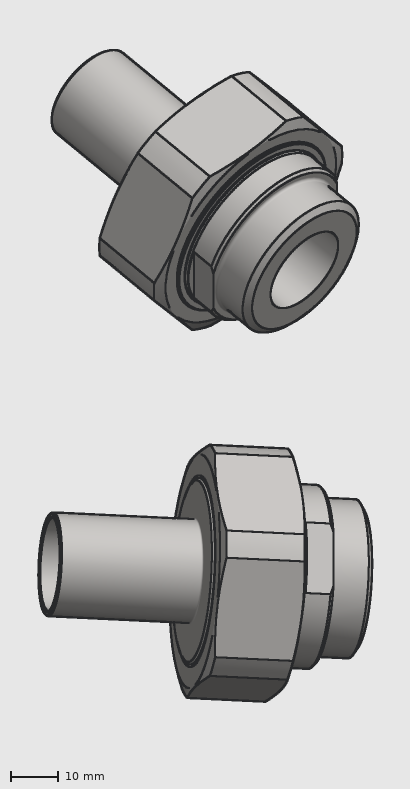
import cadquery as cq


OVERALL_LENGTH = 66.5
BORE_DIAMETER = 19.6
SOCKET_DIAMETER = 39.5
JOINT_X = 40.55

TUBE_DIAMETER = 22.0
TUBE_OUTER_CHAMFER = 0.3
TUBE_INNER_CHAMFER = 0.25
COLLAR_START_X = 30.9
COLLAR_CHAMFER = 0.5
TUBE_ROOT_FILLET = 0.3

NUT_START_X = 31.45
NUT_END_X = 50.0
NUT_ACROSS_FLATS = 50.0
NUT_CORNER_DIAMETER = 54.65
NUT_FACE_DIAMETER = 49.5
NUT_CHAMFER_LENGTH = 0.85
NUT_BOSS_DIAMETER = 43.0
NUT_BOSS_END_X = 50.55
NUT_BOSS_CHAMFER = 0.25
NUT_BORE_CHAMFER = 0.5
HEXAGON_SIDES = 6
HEXAGON_TURN = 180 / HEXAGON_SIDES

FLANGE_DIAMETER = 39.0
FLANGE_TAPER_START_X = 50.75
FLANGE_START_X = 51.3
FLANGE_END_X = 57.5
FLANGE_CHAMFER = 0.65
FLATS_START_X = 51.5
FLANGE_ACROSS_FLATS = 35.85
THREAD_DIAMETER = 33.7
THREAD_ROOT_FILLET = 0.65
THREAD_CHAMFER_LENGTH = 1.1
THREAD_TIP_DIAMETER = 30.3


def revolve_about_x(profile):
    """Turn a closed (X, radius) profile once round the X axis."""
    return profile.close().revolve(360, (0, 0, 0), (1, 0, 0))


def x_cylinder(diameter, start_x, end_x):
    """Solid cylinder along X between two stations."""
    return cq.Workplane("YZ", origin=(start_x, 0, 0)).circle(diameter / 2).extrude(end_x - start_x)


def make_tailpiece():
    """Tube with a collar that is held in the nut."""
    bore_radius = BORE_DIAMETER / 2
    tube_radius = TUBE_DIAMETER / 2
    collar_radius = SOCKET_DIAMETER / 2
    profile = (
        cq.Workplane("XY")
        .moveTo(TUBE_INNER_CHAMFER, bore_radius)
        .lineTo(0, bore_radius + TUBE_INNER_CHAMFER)
        .lineTo(0, tube_radius - TUBE_OUTER_CHAMFER)
        .lineTo(TUBE_OUTER_CHAMFER, tube_radius)
        .lineTo(COLLAR_START_X - TUBE_ROOT_FILLET, tube_radius)
        .radiusArc((COLLAR_START_X, tube_radius + TUBE_ROOT_FILLET), -TUBE_ROOT_FILLET)
        .lineTo(COLLAR_START_X, collar_radius - COLLAR_CHAMFER)
        .lineTo(COLLAR_START_X + COLLAR_CHAMFER, collar_radius)
        .lineTo(JOINT_X, collar_radius)
        .lineTo(JOINT_X, bore_radius)
    )
    return revolve_about_x(profile)


def make_nut_envelope():
    """Turned blank that rounds the hexagon corners and chamfers both ends."""
    corner_radius = NUT_CORNER_DIAMETER / 2
    face_radius = NUT_FACE_DIAMETER / 2
    profile = (
        cq.Workplane("XY")
        .moveTo(NUT_START_X, 0)
        .lineTo(NUT_START_X, face_radius)
        .lineTo(NUT_START_X + NUT_CHAMFER_LENGTH, corner_radius)
        .lineTo(NUT_END_X - NUT_CHAMFER_LENGTH, corner_radius)
        .lineTo(NUT_END_X, face_radius)
        .lineTo(NUT_END_X, 0)
    )
    return revolve_about_x(profile)


def make_nut():
    """Hexagonal union nut with a short round boss on the connector side."""
    hexagon = (
        cq.Workplane("YZ", origin=(NUT_START_X, 0, 0))
        .polygon(HEXAGON_SIDES, NUT_ACROSS_FLATS, circumscribed=True)
        .extrude(NUT_END_X - NUT_START_X)
        .rotate((0, 0, 0), (1, 0, 0), HEXAGON_TURN)
    )
    boss = x_cylinder(NUT_BOSS_DIAMETER, NUT_END_X, NUT_BOSS_END_X).faces(">X").chamfer(NUT_BOSS_CHAMFER)
    bore = x_cylinder(SOCKET_DIAMETER, NUT_START_X, NUT_BOSS_END_X)
    nut = hexagon.intersect(make_nut_envelope()).union(boss).cut(bore)
    return nut.faces("<X").edges("%CIRCLE").edges(cq.selectors.RadiusNthSelector(0)).chamfer(NUT_BORE_CHAMFER)


def make_connector():
    """Male connector with a two-flat wrench flange."""
    bore_radius = BORE_DIAMETER / 2
    socket_radius = SOCKET_DIAMETER / 2
    flange_radius = FLANGE_DIAMETER / 2
    thread_radius = THREAD_DIAMETER / 2
    profile = (
        cq.Workplane("XY")
        .moveTo(JOINT_X, bore_radius)
        .lineTo(JOINT_X, socket_radius)
        .lineTo(FLANGE_TAPER_START_X, socket_radius)
        .lineTo(FLANGE_START_X, flange_radius)
        .lineTo(FLANGE_END_X - FLANGE_CHAMFER, flange_radius)
        .lineTo(FLANGE_END_X, flange_radius - FLANGE_CHAMFER)
        .lineTo(FLANGE_END_X, thread_radius + THREAD_ROOT_FILLET)
        .radiusArc((FLANGE_END_X + THREAD_ROOT_FILLET, thread_radius), -THREAD_ROOT_FILLET)
        .lineTo(OVERALL_LENGTH - THREAD_CHAMFER_LENGTH, thread_radius)
        .lineTo(OVERALL_LENGTH, THREAD_TIP_DIAMETER / 2)
        .lineTo(OVERALL_LENGTH, bore_radius)
    )
    connector = revolve_about_x(profile)

    flats_length = FLANGE_END_X - FLATS_START_X
    for side in (-1, 1):
        cutter = cq.Workplane("XY").box(
            flats_length, FLANGE_DIAMETER, FLANGE_DIAMETER, centered=(False, True, True)
        )
        offset_y = side * (FLANGE_ACROSS_FLATS + FLANGE_DIAMETER) / 2
        connector = connector.cut(cutter.translate((FLATS_START_X, offset_y, 0)))
    return connector


tailpiece = make_tailpiece()
nut = make_nut()
connector = make_connector()

result = cq.Compound.makeCompound([tailpiece.val(), nut.val(), connector.val()])